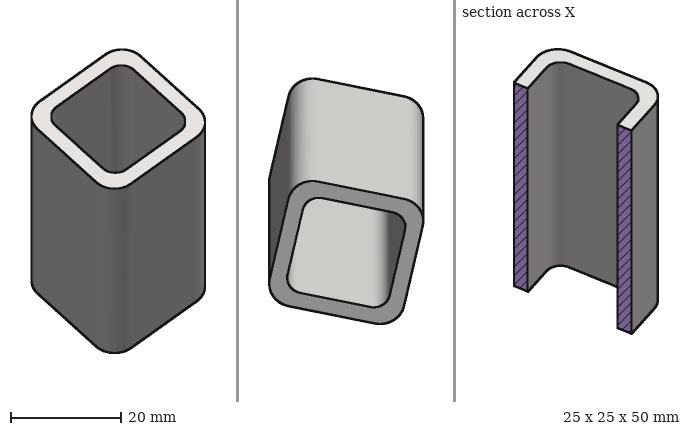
import cadquery as cq

length = 50.0
outer_side = 25.0
wall = 3.0
outer_radius = 4.5
inner_radius = 3.0

inner_side = outer_side - 2 * wall


def rounded_bar(side, corner_radius):
    """Square bar centred on the Z axis with rounded long edges."""
    bar = cq.Workplane("XY").rect(side, side).extrude(length)
    return bar.edges("|Z").fillet(corner_radius)


result = rounded_bar(outer_side, outer_radius).cut(rounded_bar(inner_side, inner_radius))